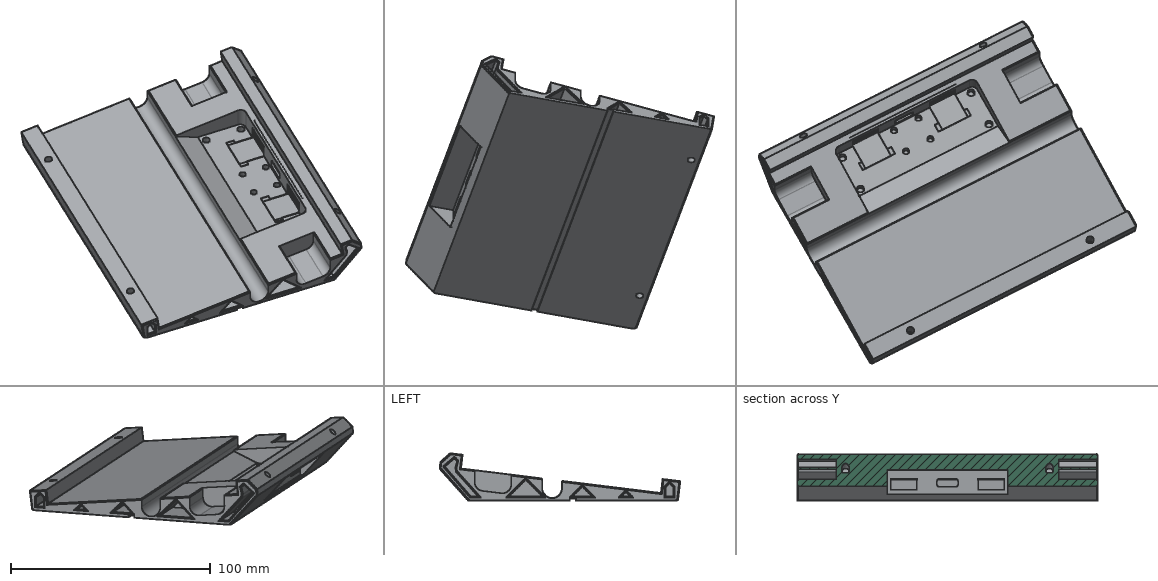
import cadquery as cq
import math

LENGTH = 150.7
TILT = 7.0
END_CHAMFER = 0.6
MOUTH_BEVEL = 0.5
TRAY_Z = 10.1
OVERCUT = 1.5

BASE_BACK_Y = 46.0
NOSE_Y = 60.35
NOSE_LOW_Z = 16.1
NOSE_HIGH_Y = 60.0
NOSE_HIGH_Z = 19.3
HOOK_CREST_Y = 55.0
HOOK_CREST_Z = 23.8
HOOK_FOOT_Y = 49.5
HOOK_HEIGHT = 7.0
LIP_FOOT_Y = -50.5
LIP_HEIGHT = 7.1
LIP_WIDTH = 9.0
TOE_CHAMFER = 0.6

SLOT_Y = 4.0
SLOT_WIDTH = 9.8
SLOT_FLOOR_Z = 1.4
GROOVE_Y = -6.5
GROOVE_WIDTH = 3.0
GROOVE_DEPTH = 1.0

SIDE_LENGTH = 21.0
SIDE_BACK_Y = 42.8
SIDE_FRONT_Y = 24.4
SIDE_FLOOR_DROP = 10.0
SIDE_FILLET = 4.5

RECESS_DEPTH = 19.6
RECESS_FLOOR_Z = 1.58
RECESS_BEVEL = 0.6
ROOF_COVER = 0.8
TRIANGLE_PEAKS_Y = (17.2, -11.2, -33.0)
LIP_RECESS_Y = -54.8
LIP_RECESS_WIDTH = 5.1
LIP_RECESS_WALL_TOP_Z = 7.1
HOOK_RECESS = (
    (45.0, RECESS_FLOOR_Z), (39.6, RECESS_FLOOR_Z), (51.5, 14.8), (51.8, 16.4),
    (51.0, 20.0), (52.9, 22.0), (58.6, 17.2),
)

BAY_WIDTH = 80.2
BAY_BACK_Y = 46.0
BAY_FLOOR_Z = 5.3
RAMP_START_Y = 21.1
SILL_DROP = 0.8
BAY_CORNER_RADIUS = 3.0
CORNER_HOLE_X = 36.54
CORNER_HOLES_Y = (43.1, 24.1)
CORNER_HOLE_DIAMETER = 3.6
CENTRE_HOLE_X = 7.0
CENTRE_HOLES_Y = (43.7, 31.0)
CENTRE_HOLE_DIAMETER = 3.2
BAY_HOLE_DEPTH = 3.5

PORT_X = 21.8
PORT_WIDTH = 14.5
PORT_TOP_Z = 11.8
PORT_STEP_DEPTH = 0.9
PORT_RIM = 0.8
SEAT_FRONT_Y = 32.5
SEAT_DEPTH = 0.5
EAR_X = 21.5
EAR_SPAN = 18.4
EAR_DEPTH = 0.3
EAR_LENGTH = 4.0
MIDDLE_PORT_WIDTH = 10.5
MIDDLE_PORT_HEIGHT = 3.9
MIDDLE_PORT_Z = 8.9
MIDDLE_PORT_RADIUS = 1.2

PLUG_RECESS_WIDTH = 60.3
PLUG_RECESS_FRONT_Y = 47.5
PLUG_RECESS_FLOOR_Z = 3.3
PLUG_RECESS_ROOF_Z = 15.4

SCREW_X = 51.1
SCREW_DIAMETER = 3.6
REAR_SCREW_DEPTH = 9.0

SLOPE = math.tan(math.radians(TILT))
NORMAL_Y = -math.sin(math.radians(TILT))
NORMAL_Z = math.cos(math.radians(TILT))


def tray_z(y):
    """Height of the sloping tray at y."""
    return TRAY_Z + SLOPE * y


def above_tray(y, height):
    """Point reached from the tray at y by moving square to it."""
    return (y + height * NORMAL_Y, tray_z(y) + height * NORMAL_Z)


def along_x(points, x_start, length):
    """Prism with a (y, z) outline, starting at x_start and running toward +X."""
    return cq.Workplane("YZ", origin=(x_start, 0, 0)).polyline(points).close().extrude(length)


def block(x_range, y_range, z_range):
    size = [high - low for low, high in (x_range, y_range, z_range)]
    corner = (x_range[0], y_range[0], z_range[0])
    return cq.Workplane("XY", origin=corner).box(*size, centered=False)


def both_ends(body):
    return body.union(body.mirror("YZ"))


lip_inner = above_tray(LIP_FOOT_Y, LIP_HEIGHT)
lip_outer = (lip_inner[0] - LIP_WIDTH * NORMAL_Z, lip_inner[1] + LIP_WIDTH * NORMAL_Y)
toe_y = lip_outer[0] + lip_outer[1] * SLOPE
profile = [
    (BASE_BACK_Y, 0),
    (NOSE_Y, NOSE_LOW_Z),
    (NOSE_HIGH_Y, NOSE_HIGH_Z),
    (HOOK_CREST_Y, HOOK_CREST_Z),
    above_tray(HOOK_FOOT_Y, HOOK_HEIGHT),
    (HOOK_FOOT_Y, tray_z(HOOK_FOOT_Y)),
    (LIP_FOOT_Y, tray_z(LIP_FOOT_Y)),
    lip_inner,
    lip_outer,
    (toe_y - TOE_CHAMFER * SLOPE, TOE_CHAMFER),
    (toe_y + TOE_CHAMFER, 0),
]
body = along_x(profile, -LENGTH / 2, LENGTH)
body = body.faces("<X or >X").edges("not <Z").chamfer(END_CHAMFER)


def mouth(back_y, front_y, x_start, length):
    """Cutter that bevels the two long edges where a channel opens in the tray."""
    return along_x(
        [
            (back_y + MOUTH_BEVEL, tray_z(back_y + MOUTH_BEVEL)),
            (back_y, tray_z(back_y) - MOUTH_BEVEL),
            (front_y, tray_z(front_y) - MOUTH_BEVEL),
            (front_y - MOUTH_BEVEL, tray_z(front_y - MOUTH_BEVEL)),
        ],
        x_start, length)


def cable_slot():
    radius = SLOT_WIDTH / 2
    centre_z = SLOT_FLOOR_Z + radius
    back_y = SLOT_Y + radius
    front_y = SLOT_Y - radius
    top_z = tray_z(back_y) + OVERCUT
    channel = (
        cq.Workplane("YZ", origin=(-LENGTH / 2, 0, 0))
        .moveTo(back_y, top_z)
        .lineTo(back_y, centre_z)
        .threePointArc((SLOT_Y, SLOT_FLOOR_Z), (front_y, centre_z))
        .lineTo(front_y, top_z)
        .close()
        .extrude(LENGTH)
    )
    return channel.union(mouth(back_y, front_y, -LENGTH / 2, LENGTH))


def side_pockets():
    start = -LENGTH / 2
    outline = [
        (SIDE_BACK_Y, tray_z(SIDE_BACK_Y) + OVERCUT),
        (SIDE_BACK_Y, tray_z(SIDE_BACK_Y) - SIDE_FLOOR_DROP),
        (SIDE_FRONT_Y, tray_z(SIDE_FRONT_Y) - SIDE_FLOOR_DROP),
        (SIDE_FRONT_Y, tray_z(SIDE_FRONT_Y) + OVERCUT),
    ]
    pocket = along_x(outline, start, SIDE_LENGTH).faces("<Z").edges("|X").fillet(SIDE_FILLET)
    return both_ends(pocket.union(mouth(SIDE_BACK_Y, SIDE_FRONT_Y, start, SIDE_LENGTH)))


def bevelled_recess(outline):
    """Blind recess in the -X end, narrowing from the outline by a bevel at its mouth."""
    mouth_bevel = (
        cq.Workplane("YZ", origin=(-LENGTH / 2, 0, 0))
        .polyline(outline)
        .close()
        .extrude(RECESS_BEVEL, taper=45)
    )
    inner = mouth_bevel.faces(">X").wires().toPending().workplane().extrude(RECESS_DEPTH - RECESS_BEVEL)
    return mouth_bevel.union(inner)


def end_recesses():
    outlines = [HOOK_RECESS]
    for peak_y in TRIANGLE_PEAKS_Y:
        peak_z = tray_z(peak_y) - ROOF_COVER
        half = peak_z - RECESS_FLOOR_Z
        outlines.append([
            (peak_y + half, RECESS_FLOOR_Z), (peak_y - half, RECESS_FLOOR_Z), (peak_y, peak_z)])
    half = LIP_RECESS_WIDTH / 2
    outlines.append([
        (LIP_RECESS_Y + half, RECESS_FLOOR_Z),
        (LIP_RECESS_Y - half, RECESS_FLOOR_Z),
        (LIP_RECESS_Y - half, LIP_RECESS_WALL_TOP_Z),
        (LIP_RECESS_Y, LIP_RECESS_WALL_TOP_Z + half),
        (LIP_RECESS_Y + half, LIP_RECESS_WALL_TOP_Z),
    ])
    recesses = cq.Workplane("XY")
    for outline in outlines:
        recesses = recesses.union(bevelled_recess(outline))
    return both_ends(recesses)


def electronics_bay():
    sill_y = SLOT_Y + SLOT_WIDTH / 2
    outline = [
        (BAY_BACK_Y, BAY_FLOOR_Z),
        (RAMP_START_Y, BAY_FLOOR_Z),
        (sill_y, tray_z(sill_y) - SILL_DROP),
        (sill_y, tray_z(sill_y) + OVERCUT),
        (BAY_BACK_Y, tray_z(BAY_BACK_Y) + OVERCUT),
    ]
    bay = along_x(outline, -BAY_WIDTH / 2, BAY_WIDTH)
    return bay.edges("|Z and >Y").fillet(BAY_CORNER_RADIUS)


def bay_holes():
    corner_points = [(side * CORNER_HOLE_X, y) for side in (-1, 1) for y in CORNER_HOLES_Y]
    centre_points = [(side * CENTRE_HOLE_X, y) for side in (-1, 1) for y in CENTRE_HOLES_Y]
    floor = cq.Workplane("XY", origin=(0, 0, BAY_FLOOR_Z))
    corner = floor.pushPoints(corner_points).circle(CORNER_HOLE_DIAMETER / 2).extrude(-BAY_HOLE_DEPTH)
    centre = floor.pushPoints(centre_points).circle(CENTRE_HOLE_DIAMETER / 2).extrude(-BAY_HOLE_DEPTH)
    return corner.union(centre)


def ports():
    seat_z = BAY_FLOOR_Z - SEAT_DEPTH
    cutters = (
        cq.Workplane("XZ", origin=(0, BAY_BACK_Y - OVERCUT, MIDDLE_PORT_Z))
        .rect(MIDDLE_PORT_WIDTH, MIDDLE_PORT_HEIGHT)
        .extrude(-(NOSE_Y - BAY_BACK_Y + OVERCUT))
        .edges("|Y")
        .fillet(MIDDLE_PORT_RADIUS)
    )
    for side in (-1, 1):
        port_x = side * PORT_X
        ear_x = side * EAR_X
        port_range = (port_x - PORT_WIDTH / 2, port_x + PORT_WIDTH / 2)
        ear_range = (ear_x - EAR_SPAN / 2, ear_x + EAR_SPAN / 2)
        ear_y_range = (SEAT_FRONT_Y, SEAT_FRONT_Y + EAR_LENGTH)
        seat = block(port_range, (SEAT_FRONT_Y, BAY_BACK_Y + PORT_STEP_DEPTH), (seat_z, PORT_TOP_Z))
        opening = block(
            (port_range[0] + PORT_RIM, port_range[1] - PORT_RIM),
            (BAY_BACK_Y, NOSE_Y),
            (seat_z + PORT_RIM, PORT_TOP_Z - PORT_RIM))
        ears = block(ear_range, ear_y_range, (BAY_FLOOR_Z - EAR_DEPTH, BAY_FLOOR_Z))
        cutters = cutters.union(seat).union(opening).union(ears)
    return cutters


def hole_from(point, direction, depth):
    """Screw hole starting just outside a surface point and running into the body."""
    axis = cq.Vector(*direction).normalized()
    start = cq.Vector(*point) - axis * OVERCUT
    return cq.Workplane(cq.Solid.makeCylinder(SCREW_DIAMETER / 2, depth + OVERCUT, start, axis))


def screw_holes():
    bevel_y = (NOSE_HIGH_Y + HOOK_CREST_Y) / 2
    bevel_z = (NOSE_HIGH_Z + HOOK_CREST_Z) / 2
    bevel_rise = HOOK_CREST_Z - NOSE_HIGH_Z
    bevel_run = NOSE_HIGH_Y - HOOK_CREST_Y
    lip_y = (lip_inner[0] + lip_outer[0]) / 2
    lip_z = (lip_inner[1] + lip_outer[1]) / 2
    holes = cq.Workplane("XY")
    for x in (-SCREW_X, SCREW_X):
        rear = hole_from((x, bevel_y, bevel_z), (0, -bevel_rise, -bevel_run), REAR_SCREW_DEPTH)
        front = hole_from((x, lip_y, lip_z), (0, -NORMAL_Y, -NORMAL_Z), lip_z + OVERCUT)
        holes = holes.union(rear).union(front)
    return holes


plug_recess = block(
    (-PLUG_RECESS_WIDTH / 2, PLUG_RECESS_WIDTH / 2),
    (PLUG_RECESS_FRONT_Y, NOSE_Y),
    (PLUG_RECESS_FLOOR_Z, PLUG_RECESS_ROOF_Z))
groove = block(
    (-LENGTH / 2, LENGTH / 2),
    (GROOVE_Y - GROOVE_WIDTH / 2, GROOVE_Y + GROOVE_WIDTH / 2),
    (0, GROOVE_DEPTH))

result = body.cut(cable_slot()).cut(groove).cut(side_pockets()).cut(end_recesses())
result = result.cut(electronics_bay()).cut(bay_holes()).cut(ports()).cut(plug_recess).cut(screw_holes())